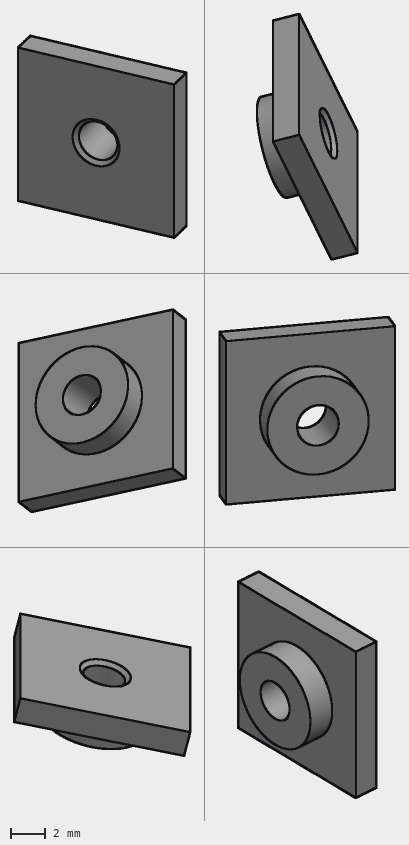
import cadquery as cq

plate_side = 10.0
plate_thickness = 1.6

boss_diameter = 6.0
boss_length = 1.7

hole_diameter = 2.46
chamfer_diameter = 3.0
chamfer_depth = (chamfer_diameter - hole_diameter) / 2
total_depth = plate_thickness + boss_length


def cylinder_along_y(diameter, length, start_y=0.0):
    """Cylinder on the Y axis, running from start_y toward +Y."""
    front = cq.Vector(0, start_y, 0)
    return cq.Workplane(cq.Solid.makeCylinder(diameter / 2, length, front, cq.Vector(0, 1, 0)))


plate = cq.Workplane("XY").box(plate_side, plate_thickness, plate_side, centered=(True, False, True))
boss = cylinder_along_y(boss_diameter, boss_length, plate_thickness)
hole = cylinder_along_y(hole_diameter, total_depth)
chamfer_cone = cq.Workplane(
    cq.Solid.makeCone(
        chamfer_diameter / 2, hole_diameter / 2, chamfer_depth, cq.Vector(0, 0, 0), cq.Vector(0, 1, 0)
    )
)

result = plate.union(boss).cut(hole).cut(chamfer_cone)